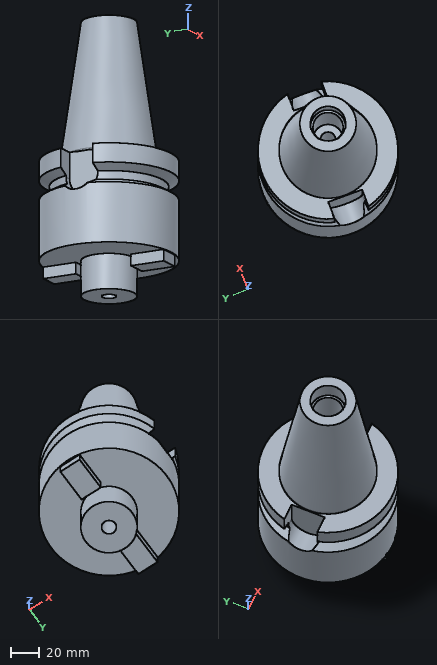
import cadquery as cq

total_height = 202.8
body_bottom = 26.2
groove_lower_edge = 70.8
groove_floor_bottom = 74.8
groove_floor_top = 81.1
groove_upper_edge = 85.4
flange_top = 99.5
taper_bottom = 101.2

spigot_radius = 20.0
body_radius = 50.0
groove_radius = 42.5
taper_large_radius = 34.9
taper_small_radius = 20.0

socket_radius = 12.5
socket_depth = 14.5
thread_radius = 10.7
thread_depth = 60.8
coolant_radius = 5.3

slot_width = 25.8
slot_bottom = 67.1
slot_inner_x = 35.3

key_width = 16.6
key_height = 8.5
key_inner_y = 22.3
key_outer_y = 48.9


def turned_body():
    """Spigot, body, V-groove, flange and taper as one revolved profile."""
    outline = [
        (0, 0),
        (spigot_radius, 0),
        (spigot_radius, body_bottom),
        (body_radius, body_bottom),
        (body_radius, groove_lower_edge),
        (groove_radius, groove_floor_bottom),
        (groove_radius, groove_floor_top),
        (body_radius, groove_upper_edge),
        (body_radius, flange_top),
        (taper_large_radius, flange_top),
        (taper_large_radius, taper_bottom),
        (taper_small_radius, total_height),
        (0, total_height),
    ]
    return cq.Workplane("XZ").polyline(outline).close().revolve(360, (0, 0), (0, 1))


def axial_cylinder(radius, depth):
    """Cylinder reaching down from the small end of the taper."""
    return cq.Workplane("XY").workplane(offset=total_height - depth).circle(radius).extrude(depth)


def drive_slot(side):
    """Round-bottomed slot cutter, open toward the top and the outside."""
    half_width = slot_width / 2
    arc_center_z = slot_bottom + half_width
    depth = body_radius - slot_inner_x
    cutter = (
        cq.Workplane("YZ")
        .workplane(offset=slot_inner_x)
        .moveTo(-half_width, flange_top)
        .lineTo(-half_width, arc_center_z)
        .threePointArc((0, slot_bottom), (half_width, arc_center_z))
        .lineTo(half_width, flange_top)
        .close()
        .extrude(depth)
    )
    return cutter if side > 0 else cutter.mirror("YZ")


def drive_key(side):
    """Rectangular key hanging from the lower face of the body."""
    length = key_outer_y - key_inner_y
    middle_y = side * (key_inner_y + key_outer_y) / 2
    return (
        cq.Workplane("XY")
        .box(key_width, length, key_height, centered=(True, True, False))
        .translate((0, middle_y, body_bottom - key_height))
    )


result = turned_body()
for side in (-1, 1):
    result = result.cut(drive_slot(side)).union(drive_key(side))

bore_steps = (
    (socket_radius, socket_depth),
    (thread_radius, thread_depth),
    (coolant_radius, total_height),
)
for radius, depth in bore_steps:
    result = result.cut(axial_cylinder(radius, depth))